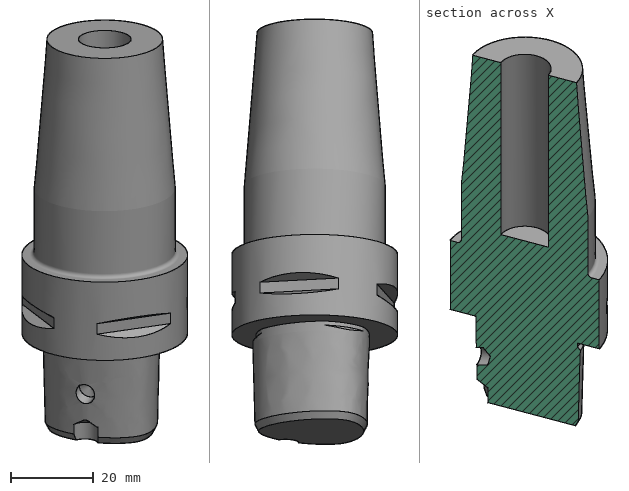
import cadquery as cq
import math

TOTAL_LENGTH = 99.0
FLANGE_BOTTOM = 24.0
FLANGE_TOP = 44.0
NOSE_CONE_START = 61.0

FLANGE_RADIUS = 20.0
NECK_RADIUS = 17.0
NOSE_TIP_RADIUS = 14.0
NECK_FILLET = 1.0
BORE_RADIUS = 6.3
BORE_DEPTH = 49.5

SHANK_MEAN_RADIUS = 14.1
LOBE_HEIGHT = 0.9
LOBE_COUNT = 3
CURVE_POINTS = 72
LOBE_ANGLE = math.radians(90)
SHANK_TAPER_TOP = 21.6
TAPER_PER_LENGTH = 0.025
SHANK_CHAMFER_HEIGHT = 1.8
SHANK_CHAMFER_WIDTH = 0.9
RELIEF_RADIUS = 14.2
RELIEF_STRAIGHT_HEIGHT = 1.0
RELIEF_FLARE = 1.3

GROOVE_COUNT = 4
GROOVE_START_ANGLE = 45
GROOVE_Z = 32.0
GROOVE_FLOOR_DISTANCE = 17.5
GROOVE_FLOOR_HEIGHT = 2.7
GROOVE_SIDE_ANGLE = math.radians(27)

KEYWAY_RADIUS = 3.2
KEYWAY_AXIS_Y = -13.1
KEYWAY_HEIGHT = 4.3
DRILL_POINT_ANGLE = math.radians(30)
DIMPLE_RADIUS = 2.4
DIMPLE_Z = 12.6
SHANK_FACE_Y = -12.9
DIMPLE_DEPTH = 2.4
DIMPLE_TILT = 15


def turned_solid(profile):
    """Solid of revolution about Z from (radius, height) points that start and end on the axis."""
    return cq.Workplane("XZ").polyline(profile).close().revolve(360, (0, 0, 0), (0, 1, 0))


def lobed_section(height, mean_radius):
    """Polygon curve whose support distance is mean_radius + LOBE_HEIGHT * cos(3 * angle)."""

    def point(fraction):
        angle = 2 * math.pi * fraction
        phase = LOBE_COUNT * (angle - LOBE_ANGLE)
        support = mean_radius + LOBE_HEIGHT * math.cos(phase)
        slope = -LOBE_COUNT * LOBE_HEIGHT * math.sin(phase)
        x = support * math.cos(angle) - slope * math.sin(angle)
        y = support * math.sin(angle) + slope * math.cos(angle)
        return (x, y, height)

    points = [cq.Vector(*point(i / CURVE_POINTS)) for i in range(CURVE_POINTS)]
    return cq.Wire.assembleEdges([cq.Edge.makeSpline(points, periodic=True)])


def lobed_solid(bottom, bottom_radius, top, top_radius):
    sections = [lobed_section(bottom, bottom_radius), lobed_section(top, top_radius)]
    return cq.Workplane(cq.Solid.makeLoft(sections, True))


def make_shank():
    chamfer_top_radius = SHANK_MEAN_RADIUS - TAPER_PER_LENGTH * (SHANK_TAPER_TOP - SHANK_CHAMFER_HEIGHT)
    end_radius = chamfer_top_radius - SHANK_CHAMFER_WIDTH
    chamfer = lobed_solid(0, end_radius, SHANK_CHAMFER_HEIGHT, chamfer_top_radius)
    taper = lobed_solid(SHANK_CHAMFER_HEIGHT, chamfer_top_radius, SHANK_TAPER_TOP, SHANK_MEAN_RADIUS)
    collar = lobed_solid(SHANK_TAPER_TOP, SHANK_MEAN_RADIUS, FLANGE_BOTTOM, SHANK_MEAN_RADIUS)

    outer_radius = RELIEF_RADIUS + RELIEF_FLARE
    relief = (
        cq.Workplane("XZ")
        .polyline([
            (RELIEF_RADIUS, FLANGE_BOTTOM),
            (RELIEF_RADIUS, FLANGE_BOTTOM - RELIEF_STRAIGHT_HEIGHT),
            (outer_radius, FLANGE_BOTTOM - RELIEF_STRAIGHT_HEIGHT - RELIEF_FLARE),
            (outer_radius, FLANGE_BOTTOM),
        ])
        .close()
        .revolve(360, (0, 0, 0), (0, 1, 0))
    )
    return chamfer.union(taper).union(collar).cut(relief)


def make_turned_body():
    fillet_mid = NECK_FILLET * (1 - math.sqrt(0.5))
    return (
        cq.Workplane("XZ")
        .moveTo(0, FLANGE_BOTTOM)
        .lineTo(FLANGE_RADIUS, FLANGE_BOTTOM)
        .lineTo(FLANGE_RADIUS, FLANGE_TOP)
        .lineTo(NECK_RADIUS + NECK_FILLET, FLANGE_TOP)
        .threePointArc(
            (NECK_RADIUS + fillet_mid, FLANGE_TOP + fillet_mid),
            (NECK_RADIUS, FLANGE_TOP + NECK_FILLET),
        )
        .lineTo(NECK_RADIUS, NOSE_CONE_START)
        .lineTo(NOSE_TIP_RADIUS, TOTAL_LENGTH)
        .lineTo(0, TOTAL_LENGTH)
        .close()
        .revolve(360, (0, 0, 0), (0, 1, 0))
    )


def make_bore():
    return cq.Workplane("XY", origin=(0, 0, TOTAL_LENGTH - BORE_DEPTH)).circle(BORE_RADIUS).extrude(BORE_DEPTH)


def make_groove(angle):
    """Straight groove across the flange with a flat floor and flared sides."""
    flare = (FLANGE_RADIUS - GROOVE_FLOOR_DISTANCE) * math.tan(GROOVE_SIDE_ANGLE)
    half_floor = GROOVE_FLOOR_HEIGHT / 2
    half_mouth = half_floor + flare
    return (
        cq.Workplane("XZ")
        .polyline([
            (GROOVE_FLOOR_DISTANCE, GROOVE_Z - half_floor),
            (FLANGE_RADIUS, GROOVE_Z - half_mouth),
            (FLANGE_RADIUS, GROOVE_Z + half_mouth),
            (GROOVE_FLOOR_DISTANCE, GROOVE_Z + half_floor),
        ])
        .close()
        .extrude(FLANGE_RADIUS, both=True)
        .rotate((0, 0, 0), (0, 0, 1), angle)
    )


def make_keyway():
    """Axial drilled pocket with a pointed upper end, open at the shank end."""
    point_height = KEYWAY_RADIUS * math.tan(DRILL_POINT_ANGLE)
    drill = turned_solid([
        (0, 0),
        (KEYWAY_RADIUS, 0),
        (KEYWAY_RADIUS, KEYWAY_HEIGHT),
        (0, KEYWAY_HEIGHT + point_height),
    ])
    return drill.translate((0, KEYWAY_AXIS_Y, 0))


def make_dimple():
    """Blind drilled hole with a pointed end, rising slightly towards the inside."""
    point_height = DIMPLE_RADIUS * math.tan(DRILL_POINT_ANGLE)
    drill = turned_solid([
        (0, -DIMPLE_RADIUS),
        (DIMPLE_RADIUS, -DIMPLE_RADIUS),
        (DIMPLE_RADIUS, DIMPLE_DEPTH),
        (0, DIMPLE_DEPTH + point_height),
    ])
    return drill.rotate((0, 0, 0), (1, 0, 0), DIMPLE_TILT - 90).translate((0, SHANK_FACE_Y, DIMPLE_Z))


result = make_turned_body().union(make_shank())
result = result.cut(make_bore()).cut(make_keyway()).cut(make_dimple())
for index in range(GROOVE_COUNT):
    result = result.cut(make_groove(GROOVE_START_ANGLE + index * 360 / GROOVE_COUNT))